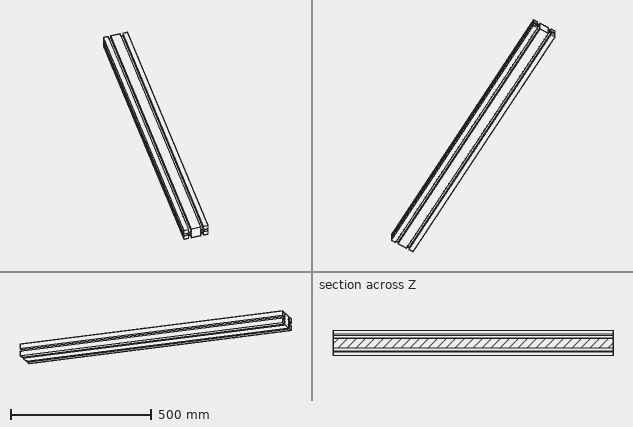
import cadquery as cq

length = 1000.0
width = 90.0
height = 45.0

slot_width = 10.0
slot_depth = 13.0
bore_diameter = 10.0
bore_offset = width / 4


def cut_box(body, y_size, z_size, y_center, z_center):
    """Remove a full-length bar centred at the given place in the section."""
    bar = cq.Workplane("XY").box(length, y_size, z_size)
    return body.cut(bar.translate((0, y_center, z_center)))


result = cq.Workplane("XY").box(length, width, height)

for side in (-1, 1):
    slot_y = side * (width - slot_depth) / 2
    result = cut_box(result, slot_depth, slot_width, slot_y, 0)

for side in (-1, 1):
    for face in (-1, 1):
        slot_z = face * (height - slot_depth) / 2
        result = cut_box(result, slot_width, slot_depth, side * bore_offset, slot_z)

bores = (
    cq.Workplane("YZ", origin=(-length / 2, 0, 0))
    .pushPoints([(-bore_offset, 0), (bore_offset, 0)])
    .circle(bore_diameter / 2)
    .extrude(length)
)
result = result.cut(bores)